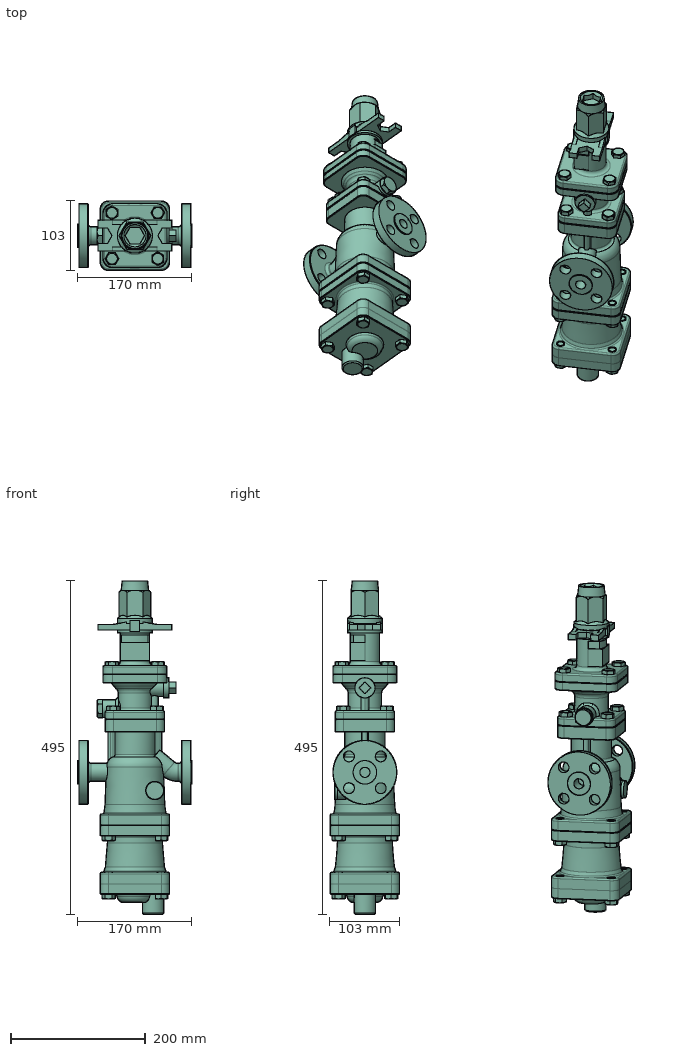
import cadquery as cq
import math


CAP_TOP = 284.0
CAP_HEX_TOP = 270.0
COLLAR_TOP = 228.5
COLLAR_BOTTOM = 221.0
HANDLE_TOP = 219.5
HANDLE_BOTTOM = 211.0
WASHER_BOTTOM = 207.0
PAD_TOP = 203.5
PAD_STEP = 192.5
PAD_BOTTOM = 166.0
UPPER_TOP, UPPER_SPLIT, UPPER_BOTTOM = 158.5, 145.3, 132.5
MIDDLE_TOP, MIDDLE_SPLIT, MIDDLE_BOTTOM = 91.5, 78.6, 59.5
BODY_SHOULDER = 26.5
LOWER_TOP, LOWER_SPLIT, LOWER_BOTTOM = -61.5, -78.4, -94.5
BASE_TOP, BASE_SPLIT, BASE_BOTTOM = -148.0, -165.6, -181.0
DOME_BOTTOM = -193.0
OUTLET_BOTTOM = -211.0

UPPER_SIDE, UPPER_CORNER, UPPER_PITCH = 95.0, 14.0, 68.0
MIDDLE_SIDE, MIDDLE_CORNER, MIDDLE_PITCH = 88.0, 12.0, 64.0
LOWER_SIDE, LOWER_CORNER, LOWER_PITCH = 103.0, 12.0, 78.0
FLANGE_TOP_FILLET = 2.5
FLANGE_BOTTOM_CHAMFER = 1.0
GASKET_INSET = 1.5
GASKET_THICKNESS = 1.0

BOLT_FLATS = 17.48
BOLT_TOP_DIAMETER = 16.0
BOLT_DIAMETER = 10.0
BOLT_HOLE_DIAMETER = 12.0
BOLT_END_DEPTH = 1.0
UPPER_HEAD, MIDDLE_HEAD, LOWER_HEAD = 6.0, 7.0, 7.0

STEM_DIAMETER = 44.0
CAP_NECK_DIAMETER = 42.0
STEM_FOOT_DIAMETER = 56.0
PAD_STEP_WIDTH, PAD_STEP_SIDE_DEPTH = 39.6, 17.0
CAP_FLATS = 41.0
CAP_TIP_DIAMETER = 38.0
CAP_CONE_DIAMETER = 42.0
CAP_EDGE_BEVEL = 3.0
COLLAR_DIAMETER = 52.0
COLLAR_BEVEL_HEIGHT = 4.5
SOCKET_FLATS = 25.0
SOCKET_DEPTH = 12.0
SOCKET_MOUTH_DIAMETER = 33.0
HANDLE_LENGTH, HANDLE_WIDTH = 110.0, 46.0
HANDLE_NOTCH_FLATS = 22.4
HANDLE_NOTCH_APEX = 34.0
HUB_WIDTH, HUB_TOP, HUB_BOTTOM = 14.0, 225.0, 209.0
RAMP_LENGTH, RAMP_INNER_SPACING, RAMP_TOP = 66.0, 34.0, 224.0

FACE_TO_FACE = 170.0
PIPE_FLANGE_DIAMETER = 95.0
PIPE_FLANGE_THICKNESS = 14.0
PIPE_FLANGE_CHAMFER = 1.0
RAISED_FACE_DIAMETER, RAISED_FACE_HEIGHT = 34.9, 2.0
PIPE_BORE = 15.0
BORE_DEPTH = 30.0
FLANGE_HOLE, FLANGE_HOLE_CIRCLE = 16.0, 66.7
PIPE_DIAMETER = 27.0
PIPE_FILLET = 4.0
ELBOW_X, ELBOW_ANGLE, ELBOW_RADIUS = 56.0, 40.0, 21.0
OUTLET_RUN, INLET_END = 36.0, 30.0

SIDE_PLUG_X, SIDE_PLUG_Z, SIDE_PLUG_FACE = 29.5, -27.0, 45.0
SIDE_PLUG_DIAMETER, SIDE_BOSS_DIAMETER, SIDE_PLUG_HEAD = 26.0, 27.0, 4.0
LEFT_BOSS_Z, LEFT_BOSS_FACE = 94.5, 56.0
LEFT_BOSS_DIAMETER, LEFT_HEAD_FLATS, LEFT_HEAD_LENGTH = 27.0, 24.0, 8.0
LEFT_FLARE_DIAMETER, LEFT_FLARE_START, LEFT_FLARE_END = 34.9, 29.0, 24.0
RIGHT_BOSS_Z, RIGHT_BOSS_FACE = 125.3, 50.5
RIGHT_BOSS_DIAMETER, RIGHT_RIM_DIAMETER, RIGHT_RIM_LENGTH = 26.0, 30.0, 8.0
SQUARE_PLUG_DIAGONAL, SQUARE_PLUG_LENGTH = 17.48, 10.5
RIGHT_COLUMN_X, RIGHT_COLUMN_DIAMETER = 29.0, 12.0
SIDE_RIB_REACH, SIDE_RIB_WIDTH, SIDE_RIB_BOTTOM = 40.0, 8.0, 15.0
SIDE_RIB_FILLET_X, SIDE_RIB_FILLET = 32.5, 4.0
OUTLET_X, OUTLET_DIAMETER, OUTLET_CHAMFER = 27.0, 32.0, 2.0

UPPER_NECK_RADIUS, UPPER_NECK_TOP = 25.0, 118.0
UPPER_NECK_FLARE = [(35.0, UPPER_BOTTOM), (31.5, 128.0), (28.5, 124.5)]
UPPER_NECK_FILLET_MIDDLE = (26.0, 121.8)
UPPER_NECK_FOOT_FILLET = 4.0
BODY_NECK_RADIUS = 30.0
BODY_NECK_FILLET = 4.0
SHOULDER_MIDDLE = (40.0, 16.5)
BARREL_TOP_RADIUS, BARREL_TOP = 42.5, 7.7
BARREL_FOOT_RADIUS, BARREL_FOOT = 44.5, -48.0
FOOT_RADIUS, FOOT_FILLET = 46.0, 2.0
TAPER_TOP_RADIUS, TAPER_TOP = 41.0, -104.5
TAPER_FOOT_RADIUS, TAPER_FOOT = 44.0, -140.5
DOME_RADIUS, DOME_STEP_RADIUS, DOME_FLOOR_RADIUS = 28.0, 26.5, 19.0
DOME_STEP = -184.5
DOME_MIDDLE = (23.8, -190.0)


def cylinder(diameter, bottom, top, x=0.0, y=0.0):
    """Vertical cylinder between two heights."""
    return cq.Workplane("XY", origin=(x, y, bottom)).circle(diameter / 2).extrude(top - bottom)


def x_cylinder(diameter, x_start, x_end, z=0.0):
    """Cylinder along X in the Y = 0 plane."""
    return cq.Workplane("YZ", origin=(x_start, 0, z)).circle(diameter / 2).extrude(x_end - x_start)


def hex_prism(flats, bottom, top, x=0.0, y=0.0, turn=0.0):
    """Vertical hexagonal prism, corners on +-X before turning."""
    corners = flats / math.cos(math.pi / 6)
    prism = cq.Workplane("XY").polygon(6, corners).extrude(top - bottom)
    return prism.rotate((0, 0, 0), (0, 0, 1), turn).translate((x, y, bottom))


def revolve(profile):
    """Solid of revolution about Z from a closed radius-height sketch on the XZ plane."""
    return profile.close().revolve(360, (0, 0, 0), (0, 1, 0))


def square_plate(side, corner, bottom, top):
    """Square plate with rounded vertical corners."""
    plate = cq.Workplane("XY", origin=(0, 0, bottom)).rect(side, side).extrude(top - bottom)
    return plate.edges("|Z").fillet(corner)


def flange_pair(side, corner, top, split, bottom, gap=True):
    """Two rounded square plates; a thinner, inset gasket separates them when there is a gap."""
    half_gap = GASKET_THICKNESS / 2 if gap else 0.0
    upper = square_plate(side, corner, split + half_gap, top).faces(">Z").edges().fillet(FLANGE_TOP_FILLET)
    lower = square_plate(side, corner, bottom, split - half_gap)
    lower = lower.faces("<Z").edges().chamfer(FLANGE_BOTTOM_CHAMFER)
    if gap:
        inset_side = side - 2 * GASKET_INSET
        gasket = square_plate(inset_side, corner - GASKET_INSET, split - half_gap, split + half_gap)
        lower = lower.union(gasket)
    return upper.union(lower, clean=False)


def corner_places(pitch):
    """Four bolt places with the quarter turn of each hexagon about the Z axis."""
    half = pitch / 2
    return [(-half, -half, 0), (half, -half, 90), (half, half, 0), (-half, half, 90)]


def bolt_heads(pitch, seat, height):
    """Hex heads on a seat; a negative height hangs the heads below the seat."""
    heads = cq.Workplane("XY")
    corner_radius = BOLT_FLATS / math.sqrt(3)
    bevel = corner_radius - BOLT_TOP_DIAMETER / 2
    for x, y, turn in corner_places(pitch):
        head = hex_prism(BOLT_FLATS, 0, abs(height), turn=turn)
        cone = cylinder(2 * corner_radius, 0, abs(height)).faces(">Z").edges().chamfer(bevel / 2, bevel)
        head = head.intersect(cone)
        if height < 0:
            head = head.mirror("XY")
        heads = heads.union(head.translate((x, y, seat)))
    return heads


def bolt_end_rings(pitch, top):
    """Shallow ring gaps around the bolt ends in the top of a flange."""
    rings = cq.Workplane("XY")
    for x, y, _ in corner_places(pitch):
        hole = cylinder(BOLT_HOLE_DIAMETER, top - BOLT_END_DEPTH, top, x, y)
        rings = rings.union(hole.cut(cylinder(BOLT_DIAMETER, top - BOLT_END_DEPTH, top, x, y)))
    return rings


def make_cap():
    """Hexagonal cap with a conical tip, a beveled collar and a hex socket in the top."""
    hexagon = hex_prism(CAP_FLATS, COLLAR_TOP, CAP_HEX_TOP)
    corner_radius = CAP_FLATS / math.sqrt(3)
    bevel_cone = revolve(
        cq.Workplane("XZ")
        .moveTo(0, COLLAR_TOP)
        .lineTo(corner_radius, COLLAR_TOP)
        .lineTo(corner_radius, CAP_HEX_TOP - CAP_EDGE_BEVEL)
        .lineTo(CAP_CONE_DIAMETER / 2, CAP_HEX_TOP)
        .lineTo(0, CAP_HEX_TOP)
    )
    tip = revolve(
        cq.Workplane("XZ")
        .moveTo(0, CAP_HEX_TOP)
        .lineTo(CAP_FLATS / 2, CAP_HEX_TOP)
        .lineTo(CAP_TIP_DIAMETER / 2, CAP_TOP)
        .lineTo(0, CAP_TOP)
    )
    collar = revolve(
        cq.Workplane("XZ")
        .moveTo(0, COLLAR_BOTTOM)
        .lineTo(COLLAR_DIAMETER / 2, COLLAR_BOTTOM)
        .lineTo(COLLAR_DIAMETER / 2, COLLAR_TOP)
        .lineTo(CAP_FLATS / 2, COLLAR_TOP + COLLAR_BEVEL_HEIGHT)
        .lineTo(0, COLLAR_TOP + COLLAR_BEVEL_HEIGHT)
    )
    neck = cylinder(CAP_NECK_DIAMETER, HANDLE_TOP, COLLAR_BOTTOM)
    socket = hex_prism(SOCKET_FLATS, CAP_TOP - SOCKET_DEPTH, CAP_TOP)
    mouth_bevel = (SOCKET_MOUTH_DIAMETER - SOCKET_FLATS) / 2
    mouth = revolve(
        cq.Workplane("XZ")
        .moveTo(0, CAP_TOP)
        .lineTo(SOCKET_MOUTH_DIAMETER / 2, CAP_TOP)
        .lineTo(SOCKET_FLATS / 2, CAP_TOP - mouth_bevel)
        .lineTo(0, CAP_TOP - mouth_bevel)
    )
    return hexagon.intersect(bevel_cone).union(tip).union(collar).union(neck).cut(socket).cut(mouth)


def make_handle():
    """Flat wrench plate with a hexagonal notch in each end and ramped ribs beside the hub."""
    plate = cq.Workplane("XY", origin=(0, 0, HANDLE_BOTTOM)).rect(HANDLE_LENGTH, HANDLE_WIDTH)
    plate = plate.extrude(HANDLE_TOP - HANDLE_BOTTOM)
    corner_radius = HANDLE_NOTCH_FLATS / math.sqrt(3)
    notch_x = HANDLE_NOTCH_APEX + corner_radius
    mouth_length = HANDLE_LENGTH / 2 - notch_x
    for side in (-1, 1):
        notch = hex_prism(HANDLE_NOTCH_FLATS, HANDLE_BOTTOM, HANDLE_TOP, side * notch_x)
        mouth = cq.Workplane("XY", origin=(side * (notch_x + mouth_length / 2), 0, HANDLE_BOTTOM))
        mouth = mouth.rect(mouth_length, HANDLE_NOTCH_FLATS).extrude(HANDLE_TOP - HANDLE_BOTTOM)
        plate = plate.cut(notch).cut(mouth)
    ramp = (
        cq.Workplane("XZ")
        .moveTo(-RAMP_LENGTH / 2, HANDLE_TOP)
        .lineTo(-HUB_WIDTH / 2, RAMP_TOP)
        .lineTo(HUB_WIDTH / 2, RAMP_TOP)
        .lineTo(RAMP_LENGTH / 2, HANDLE_TOP)
        .close()
        .extrude(HANDLE_WIDTH / 2, both=True)
    )
    channel = cq.Workplane("XY", origin=(0, 0, HANDLE_TOP)).rect(RAMP_LENGTH, RAMP_INNER_SPACING)
    ramp = ramp.cut(channel.extrude(RAMP_TOP - HANDLE_TOP))
    hub = cq.Workplane("XY", origin=(0, 0, HUB_BOTTOM)).rect(HUB_WIDTH, COLLAR_DIAMETER)
    hub = hub.extrude(HUB_TOP - HUB_BOTTOM)
    washer = cylinder(COLLAR_DIAMETER, WASHER_BOTTOM, HANDLE_BOTTOM)
    return plate.union(washer).union(ramp).union(hub)


def make_stem():
    """Round stem whose -Y half carries a rectangular pad with a bowed upper step."""
    radius = STEM_DIAMETER / 2
    stem = cylinder(STEM_DIAMETER, UPPER_TOP, WASHER_BOTTOM)
    relief = cq.Workplane("XY", origin=(0, -radius, PAD_STEP)).rect(STEM_DIAMETER, STEM_DIAMETER)
    stem = stem.cut(relief.extrude(PAD_TOP - PAD_STEP))
    pad = cq.Workplane("XY", origin=(0, -radius / 2, PAD_BOTTOM)).rect(STEM_DIAMETER, radius)
    pad = pad.extrude(PAD_STEP - PAD_BOTTOM)
    step = (
        cq.Workplane("XY", origin=(0, 0, PAD_STEP))
        .moveTo(-PAD_STEP_WIDTH / 2, 0)
        .lineTo(-PAD_STEP_WIDTH / 2, -PAD_STEP_SIDE_DEPTH)
        .threePointArc((0, -radius), (PAD_STEP_WIDTH / 2, -PAD_STEP_SIDE_DEPTH))
        .lineTo(PAD_STEP_WIDTH / 2, 0)
        .close()
        .extrude(PAD_TOP - PAD_STEP)
    )
    fillet = (STEM_FOOT_DIAMETER - STEM_DIAMETER) / 2
    foot = revolve(
        cq.Workplane("XZ")
        .moveTo(0, UPPER_TOP)
        .lineTo(STEM_FOOT_DIAMETER / 2, UPPER_TOP)
        .radiusArc((radius, UPPER_TOP + fillet), fillet)
        .lineTo(0, UPPER_TOP + fillet)
    )
    return stem.union(pad).union(step).union(foot)


def make_upper_neck():
    """Neck between the upper and middle flanges, flared at the top and filleted at the foot."""
    foot = UPPER_NECK_FOOT_FILLET
    return revolve(
        cq.Workplane("XZ")
        .moveTo(0, UPPER_BOTTOM)
        .polyline(UPPER_NECK_FLARE, includeCurrent=True)
        .threePointArc(UPPER_NECK_FILLET_MIDDLE, (UPPER_NECK_RADIUS, UPPER_NECK_TOP))
        .lineTo(UPPER_NECK_RADIUS, MIDDLE_TOP + foot)
        .radiusArc((UPPER_NECK_RADIUS + foot, MIDDLE_TOP), -foot)
        .lineTo(0, MIDDLE_TOP)
    )


def make_body():
    """Main body: neck, domed shoulder, slightly drafted barrel and flared foot."""
    neck_foot = (BODY_NECK_RADIUS + BODY_NECK_FILLET, BODY_SHOULDER - BODY_NECK_FILLET)
    return revolve(
        cq.Workplane("XZ")
        .moveTo(0, MIDDLE_BOTTOM)
        .lineTo(BODY_NECK_RADIUS, MIDDLE_BOTTOM)
        .lineTo(BODY_NECK_RADIUS, BODY_SHOULDER)
        .radiusArc(neck_foot, -BODY_NECK_FILLET)
        .threePointArc(SHOULDER_MIDDLE, (BARREL_TOP_RADIUS, BARREL_TOP))
        .lineTo(BARREL_FOOT_RADIUS, BARREL_FOOT)
        .lineTo(FOOT_RADIUS, LOWER_TOP + FOOT_FILLET)
        .radiusArc((FOOT_RADIUS + FOOT_FILLET, LOWER_TOP), -FOOT_FILLET)
        .lineTo(0, LOWER_TOP)
    )


def make_lower_body():
    """Tapered barrel between the two lower flanges, filleted into both."""
    return revolve(
        cq.Workplane("XZ")
        .moveTo(0, LOWER_BOTTOM)
        .lineTo(TAPER_TOP_RADIUS + FOOT_FILLET, LOWER_BOTTOM)
        .radiusArc((TAPER_TOP_RADIUS, LOWER_BOTTOM - FOOT_FILLET), -FOOT_FILLET)
        .lineTo(TAPER_TOP_RADIUS, TAPER_TOP)
        .lineTo(TAPER_FOOT_RADIUS, TAPER_FOOT)
        .lineTo(FOOT_RADIUS, BASE_TOP + FOOT_FILLET)
        .radiusArc((FOOT_RADIUS + FOOT_FILLET, BASE_TOP), -FOOT_FILLET)
        .lineTo(0, BASE_TOP)
    )


def make_outlet():
    """Shallow dome under the base with the offset outlet pipe."""
    dome = revolve(
        cq.Workplane("XZ")
        .moveTo(0, BASE_BOTTOM)
        .lineTo(DOME_RADIUS, BASE_BOTTOM)
        .lineTo(DOME_STEP_RADIUS, DOME_STEP)
        .threePointArc(DOME_MIDDLE, (DOME_FLOOR_RADIUS, DOME_BOTTOM))
        .lineTo(0, DOME_BOTTOM)
    )
    pipe = cylinder(OUTLET_DIAMETER, OUTLET_BOTTOM, BASE_BOTTOM, OUTLET_X)
    pipe = pipe.faces("<Z").edges().chamfer(OUTLET_CHAMFER)
    return dome.union(pipe)


def make_pipe_flange(side):
    """Round pipe flange on the -X (side = -1) or +X (side = 1) end, with its hub fillet."""
    face = FACE_TO_FACE / 2
    outer = face - RAISED_FACE_HEIGHT
    inner = outer - PIPE_FLANGE_THICKNESS
    flange = x_cylinder(PIPE_FLANGE_DIAMETER, inner, outer).faces("<X").edges().chamfer(PIPE_FLANGE_CHAMFER)
    hole_pitch = FLANGE_HOLE_CIRCLE / math.sqrt(2)
    holes = cq.Workplane("YZ", origin=(inner, 0, 0)).rect(hole_pitch, hole_pitch, forConstruction=True)
    holes = holes.vertices().circle(FLANGE_HOLE / 2).extrude(PIPE_FLANGE_THICKNESS)
    raised = x_cylinder(RAISED_FACE_DIAMETER, outer, face)
    pipe_radius = PIPE_DIAMETER / 2
    hub = (
        cq.Workplane("XY")
        .moveTo(inner, 0)
        .lineTo(inner, pipe_radius + PIPE_FILLET)
        .radiusArc((inner - PIPE_FILLET, pipe_radius), PIPE_FILLET)
        .lineTo(inner - PIPE_FILLET, 0)
        .close()
        .revolve(360, (0, 0, 0), (1, 0, 0))
    )
    flange = flange.cut(holes).union(raised).union(hub)
    return flange if side > 0 else flange.mirror("YZ")


def make_pipes():
    """Straight inlet pipe on -X and the angled outlet pipe on +X."""
    flange_back = FACE_TO_FACE / 2 - RAISED_FACE_HEIGHT - PIPE_FLANGE_THICKNESS
    inlet = x_cylinder(PIPE_DIAMETER, -flange_back, -INLET_END)
    turn = math.radians(ELBOW_ANGLE)
    tangent_length = ELBOW_RADIUS * math.tan(turn / 2)
    slant = (-math.cos(turn), math.sin(turn))
    bend_end = (ELBOW_X + tangent_length * slant[0], tangent_length * slant[1])
    path = (
        cq.Workplane("XZ")
        .moveTo(flange_back, 0)
        .lineTo(ELBOW_X + tangent_length, 0)
        .tangentArcPoint(bend_end, relative=False)
        .lineTo(ELBOW_X + OUTLET_RUN * slant[0], OUTLET_RUN * slant[1])
    )
    outlet = cq.Workplane("YZ", origin=(flange_back, 0, 0)).circle(PIPE_DIAMETER / 2).sweep(path)
    return inlet.union(outlet)


def make_bores():
    """Blind bores in the two pipe flange faces."""
    face = FACE_TO_FACE / 2
    left = x_cylinder(PIPE_BORE, -face, -face + BORE_DEPTH)
    return left.union(left.mirror("YZ"))


def make_side_plug():
    """Plugged boss on the -Y side of the body."""
    back = SIDE_PLUG_FACE - SIDE_PLUG_HEAD
    start = cq.Workplane("XZ", origin=(SIDE_PLUG_X, 0, SIDE_PLUG_Z))
    boss = start.circle(SIDE_BOSS_DIAMETER / 2).extrude(back)
    plug = start.circle(SIDE_PLUG_DIAMETER / 2).extrude(SIDE_PLUG_FACE)
    return boss.union(plug)


def make_left_boss():
    """Boss on the -X side above the middle flange, flared into the neck and closed by a hex plug."""
    boss = x_cylinder(LEFT_BOSS_DIAMETER, LEFT_HEAD_LENGTH - LEFT_BOSS_FACE, 0, LEFT_BOSS_Z)
    corners = LEFT_HEAD_FLATS / math.cos(math.pi / 6)
    bevel = (corners - LEFT_HEAD_FLATS) / 2
    head = cq.Workplane("YZ").polygon(6, corners).extrude(LEFT_HEAD_LENGTH)
    head = head.rotate((0, 0, 0), (1, 0, 0), 90)
    head = head.intersect(x_cylinder(corners, 0, LEFT_HEAD_LENGTH).faces("<X").edges().chamfer(bevel))
    head = head.translate((-LEFT_BOSS_FACE, 0, LEFT_BOSS_Z))
    flare = (
        cq.Workplane("XY")
        .moveTo(-LEFT_FLARE_START, 0)
        .lineTo(-LEFT_FLARE_START, LEFT_BOSS_DIAMETER / 2)
        .lineTo(-LEFT_FLARE_END, LEFT_FLARE_DIAMETER / 2)
        .lineTo(-LEFT_FLARE_END, 0)
        .close()
        .revolve(360, (0, 0, 0), (1, 0, 0))
        .translate((0, 0, LEFT_BOSS_Z))
    )
    return boss.union(head).union(flare)


def make_right_boss():
    """Boss on the +X side of the upper neck with a square-headed plug and a column below it."""
    boss = x_cylinder(RIGHT_BOSS_DIAMETER, 0, RIGHT_BOSS_FACE, RIGHT_BOSS_Z)
    rim = x_cylinder(RIGHT_RIM_DIAMETER, RIGHT_BOSS_FACE - RIGHT_RIM_LENGTH, RIGHT_BOSS_FACE, RIGHT_BOSS_Z)
    plug = cq.Workplane("YZ", origin=(RIGHT_BOSS_FACE, 0, RIGHT_BOSS_Z))
    plug = plug.polygon(4, SQUARE_PLUG_DIAGONAL).extrude(SQUARE_PLUG_LENGTH)
    column = cylinder(RIGHT_COLUMN_DIAMETER, MIDDLE_TOP, RIGHT_BOSS_Z, RIGHT_COLUMN_X)
    return boss.union(rim).union(plug).union(column)


def make_side_ribs():
    """Round-nosed vertical ribs on both sides of the body neck, filleted into it."""
    half = SIDE_RIB_WIDTH / 2
    nose_x = SIDE_RIB_REACH - half
    root_x = SIDE_RIB_FILLET_X - SIDE_RIB_FILLET
    root_half = half + SIDE_RIB_FILLET
    rib = (
        cq.Workplane("XY", origin=(0, 0, SIDE_RIB_BOTTOM))
        .moveTo(root_x, -root_half)
        .radiusArc((SIDE_RIB_FILLET_X, -half), SIDE_RIB_FILLET)
        .lineTo(nose_x, -half)
        .threePointArc((SIDE_RIB_REACH, 0), (nose_x, half))
        .lineTo(SIDE_RIB_FILLET_X, half)
        .radiusArc((root_x, root_half), SIDE_RIB_FILLET)
        .close()
        .extrude(MIDDLE_BOTTOM - SIDE_RIB_BOTTOM)
    )
    return rib.union(rib.mirror("YZ"))


result = make_cap()
parts = [
    make_handle(),
    make_stem(),
    flange_pair(UPPER_SIDE, UPPER_CORNER, UPPER_TOP, UPPER_SPLIT, UPPER_BOTTOM),
    bolt_heads(UPPER_PITCH, UPPER_TOP, UPPER_HEAD),
    make_upper_neck(),
    flange_pair(MIDDLE_SIDE, MIDDLE_CORNER, MIDDLE_TOP, MIDDLE_SPLIT, MIDDLE_BOTTOM),
    bolt_heads(MIDDLE_PITCH, MIDDLE_TOP, MIDDLE_HEAD),
    make_left_boss(),
    make_right_boss(),
    make_body(),
    make_side_ribs(),
    make_pipes(),
    make_pipe_flange(-1),
    make_pipe_flange(1),
    make_side_plug(),
    flange_pair(LOWER_SIDE, LOWER_CORNER, LOWER_TOP, LOWER_SPLIT, LOWER_BOTTOM),
    bolt_heads(LOWER_PITCH, LOWER_BOTTOM, -LOWER_HEAD),
    make_lower_body(),
    flange_pair(LOWER_SIDE, LOWER_CORNER, BASE_TOP, BASE_SPLIT, BASE_BOTTOM, gap=False),
    bolt_heads(LOWER_PITCH, BASE_BOTTOM, -LOWER_HEAD),
    make_outlet(),
]
for piece in parts:
    result = result.union(piece, clean=False)
result = result.cut(make_bores(), clean=False)
for flange_top in (LOWER_TOP, BASE_TOP):
    result = result.cut(bolt_end_rings(LOWER_PITCH, flange_top), clean=False)